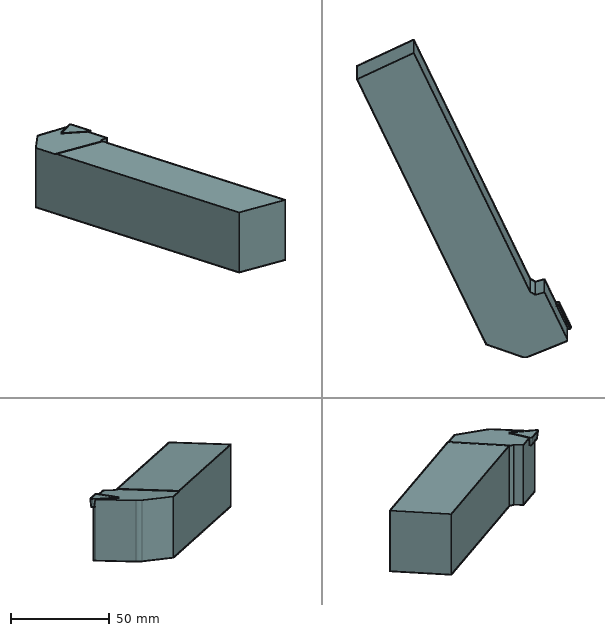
import cadquery as cq
import math

overall_length = 170.0
overall_width = 40.0
shank_size = 32.0

inscribed_diameter = 9.525
insert_corner_radius = 0.8
insert_thickness = 4.3
insert_clearance_angle = 7.0
insert_side = inscribed_diameter * math.sqrt(3)
insert_height = inscribed_diameter * 1.5
corner_shortening = insert_corner_radius * (math.sqrt(3) - 1)
insert_center_x = insert_side / 2 - corner_shortening

head_length = 32.25
head_top_drop = 0.35
head_side_y = 38.5
head_end_x = 0.95
lead_angle = 3.0
nose_radius = 1.0
front_chamfer = 17.1
front_corner_radius = 4.2

shoulder_top_x = 28.9
shoulder_foot_x = 29.7
shoulder_foot_y = 33.7


def make_insert():
    """Triangular insert with one edge facing +Y, one corner pointing to -Y, wide face on top."""
    left_corner = (insert_center_x - insert_side / 2, overall_width)
    right_corner = (insert_center_x + insert_side / 2, overall_width)
    inner_corner = (insert_center_x, overall_width - insert_height)
    triangle = cq.Sketch().polygon([left_corner, right_corner, inner_corner, left_corner])
    profile = triangle.vertices().fillet(insert_corner_radius)
    return (
        cq.Workplane("XY", origin=(0, 0, shank_size))
        .placeSketch(profile)
        .extrude(-insert_thickness, taper=insert_clearance_angle)
    )


def make_holder_blank():
    """Square shank with a wider head, both at full height."""
    lean = math.tan(math.radians(lead_angle))
    corner_y = (front_chamfer - head_end_x - head_side_y * lean) / (1 - lean)
    corner_x = front_chamfer - corner_y
    outline = [
        (front_chamfer, 0),
        (overall_length, 0),
        (overall_length, shank_size),
        (head_length, shank_size),
        (shoulder_foot_x, shoulder_foot_y),
        (shoulder_top_x, head_side_y),
        (head_end_x, head_side_y),
        (corner_x, corner_y),
    ]
    blank = cq.Workplane("XY").polyline(outline).close().extrude(shank_size)
    mid_height = shank_size / 2
    front_corner = cq.selectors.NearestToPointSelector((corner_x, corner_y, mid_height))
    nose = cq.selectors.NearestToPointSelector((head_end_x, head_side_y, mid_height))
    blank = blank.edges(front_corner).fillet(front_corner_radius)
    return blank.edges(nose).fillet(nose_radius)


def make_head_relief():
    """Thin slab that lowers the head's top face below the shank's top face."""
    return cq.Workplane("XY", origin=(0, 0, shank_size - head_top_drop)).box(
        head_length, overall_width, head_top_drop, centered=False
    )


insert = make_insert()
holder = make_holder_blank().cut(make_head_relief()).cut(insert)

result = cq.Compound.makeCompound([holder.solids().val(), insert.val()])